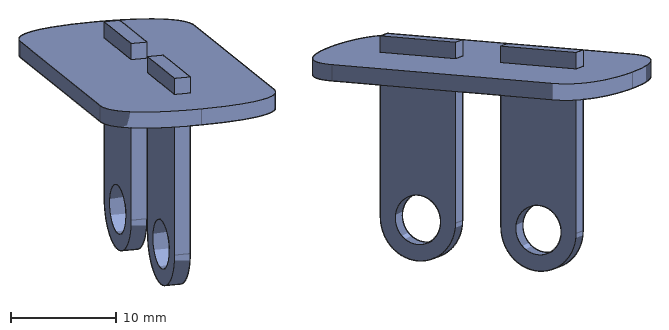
import cadquery as cq

plate_length = 31.75
plate_width = 17.45
thickness = 1.6
end_bulge = 4.25
side_pull = 0.75
tip_pull = 0.5

lug_width = 7.95
lug_spacing = 12.7
lug_height = 21.43
lug_rise = 1.6
hole_diameter = 4.75

lug_radius = lug_width / 2
plate_top = lug_height - lug_rise
half_length = plate_length / 2
half_straight = half_length - end_bulge
half_width = plate_width / 2


def end_curve(sketch, start, corner, start_pull, finish, finish_pull):
    """Add a cubic curve tangent to the lines from its two ends to the corner."""
    start_handle = tuple(p + start_pull * (c - p) for p, c in zip(start, corner))
    finish_handle = tuple(p + finish_pull * (c - p) for p, c in zip(finish, corner))
    return sketch.bezier([start, start_handle, finish_handle, finish])


def make_plate():
    """Flat plate with straight long sides and smoothly bulging ends."""
    outline = cq.Workplane("XY", origin=(0, 0, plate_top - thickness)).moveTo(-half_straight, -half_width)
    for side in (1, -1):
        tip = (side * half_length, 0)
        near_corner = (side * half_length, -side * half_width)
        far_corner = (side * half_length, side * half_width)
        near_side = (side * half_straight, -side * half_width)
        far_side = (side * half_straight, side * half_width)
        outline = outline.lineTo(*near_side)
        outline = end_curve(outline, near_side, near_corner, side_pull, tip, tip_pull)
        outline = end_curve(outline, tip, far_corner, tip_pull, far_side, side_pull)
    return outline.close().extrude(thickness)


def make_lug(x):
    """Upright strap with a rounded, drilled lower end, centred on Y = 0."""
    return (
        cq.Workplane("XZ")
        .moveTo(x - lug_radius, lug_height)
        .lineTo(x - lug_radius, lug_radius)
        .threePointArc((x, 0), (x + lug_radius, lug_radius))
        .lineTo(x + lug_radius, lug_height)
        .close()
        .moveTo(x, lug_radius)
        .circle(hole_diameter / 2)
        .extrude(thickness / 2, both=True)
    )


result = make_plate()
for lug_x in (-lug_spacing / 2, lug_spacing / 2):
    result = result.union(make_lug(lug_x))